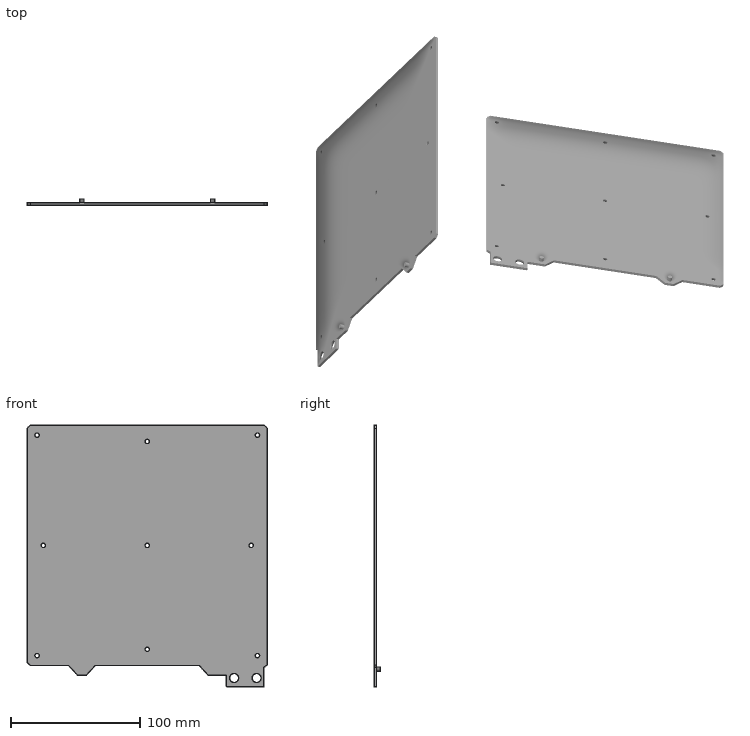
import cadquery as cq

plate_side = 186.0
plate_thickness = 2.0
half_side = plate_side / 2
corner_chamfer = 2.5

mounting_hole_diameter = 3.2
corner_hole_offset = 85.25
mid_hole_offset = 80.4

pin_diameter = 3.5
pin_length = 3.0
pin_offset_x = 50.5
pin_z = -95.8

tab_drop = 7.5
tab_tip_half_width = 3.4
tab_root_half_width = 10.3
left_tab_outer_root_x = -60.9
tab_bottom = -half_side - tab_drop

lug_left = 61.0
lug_right = 90.3
lug_drop = 16.5
lug_bottom = -half_side - lug_drop
lug_chamfer = 0.7
shoulder_top = -92.5
shoulder_bottom = -94.3
lug_hole_diameter = 6.8
lug_hole_z = -102.6
lug_hole_positions_x = (67.2, 84.6)


def plate_outline():
    """Corner points (x, z), clockwise from the upper left."""
    chamfer_start = half_side - corner_chamfer
    return [
        (-chamfer_start, half_side),
        (chamfer_start, half_side),
        (half_side, chamfer_start),
        (half_side, shoulder_top),
        (lug_right, shoulder_bottom),
        (lug_right, lug_bottom),
        (lug_left + lug_chamfer, lug_bottom),
        (lug_left, lug_bottom + lug_chamfer),
        (lug_left, tab_bottom),
        (pin_offset_x - tab_tip_half_width, tab_bottom),
        (pin_offset_x - tab_root_half_width, -half_side),
        (-pin_offset_x + tab_root_half_width, -half_side),
        (-pin_offset_x + tab_tip_half_width, tab_bottom),
        (-pin_offset_x - tab_tip_half_width, tab_bottom),
        (left_tab_outer_root_x, -half_side),
        (-chamfer_start, -half_side),
        (-half_side, -chamfer_start),
        (-half_side, chamfer_start),
    ]


def cylinder_along_y(x, z, diameter, y_start, length):
    """Cylinder that runs from y_start toward +Y."""
    base_centre = cq.Vector(x, y_start, z)
    cylinder = cq.Solid.makeCylinder(diameter / 2, length, base_centre, cq.Vector(0, 1, 0))
    return cq.Workplane(cylinder)


def through_hole(x, z, diameter):
    return cylinder_along_y(x, z, diameter, 0, plate_thickness)


def make_plate():
    plate = cq.Workplane("XZ").polyline(plate_outline()).close().extrude(-plate_thickness)
    for column in (-1, 0, 1):
        for row in (-1, 0, 1):
            is_corner = column != 0 and row != 0
            offset = corner_hole_offset if is_corner else mid_hole_offset
            plate = plate.cut(through_hole(column * offset, row * offset, mounting_hole_diameter))
    for hole_x in lug_hole_positions_x:
        plate = plate.cut(through_hole(hole_x, lug_hole_z, lug_hole_diameter))
    return plate


def make_pin(x):
    """Pin that stands on the rear face of the plate."""
    return cylinder_along_y(x, pin_z, pin_diameter, plate_thickness, pin_length)


plate = make_plate()
pins = [make_pin(side * pin_offset_x) for side in (-1, 1)]

result = cq.Compound.makeCompound([plate.val(), *[pin.val() for pin in pins]])